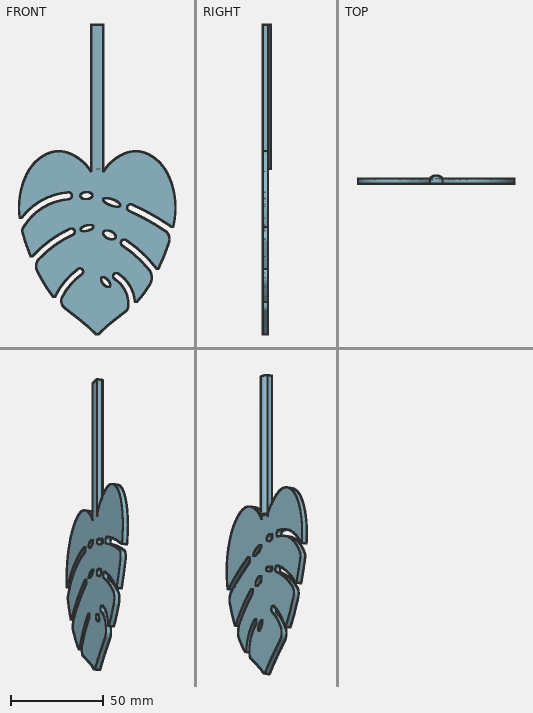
import cadquery as cq
import math


PLATE_THICKNESS = 3.0
TOTAL_DEPTH = 4.61
TOTAL_HEIGHT = 167.9
STEM_WIDTH = 6.7
HALF_STEM = STEM_WIDTH / 2
STEM_OVERLAP = 5.0
RIB_BOTTOM_Z = 89.7

LEAF_WIDTH = 84.96
NOTCH = (HALF_STEM, 88.3)
CROWN = (20.8, 99.45)
WIDEST = (LEAF_WIDTH / 2, 68.5)
LEAF_TIP = (0.0, -0.72)
LEAF_TIP_RADIUS = 1.5
EDGE_POINTS = [
    (11.4, 96.4),
    CROWN,
    (33.3, 93.8),
    (39.9, 83.2),
    WIDEST,
    (39.3, 51.0),
    (31.0, 31.4),
    (21.9, 18.2),
    (12.0, 9.9),
    LEAF_TIP,
]

SLOTS = [
    ((-15.6, 75.2), (-29.2, 71.1), (-44.2, 53.7), 3.6, 3.0),
    ((18.1, 68.7), (28.7, 63.4), (44.0, 53.3), 3.7, 5.5),
    ((-14.0, 55.7), (-24.7, 49.4), (-37.5, 36.6), 3.5, 5.5),
    ((14.6, 49.7), (22.5, 43.6), (34.2, 29.6), 3.5, 7.0),
    ((-9.4, 34.1), (-15.6, 28.4), (-23.2, 15.0), 3.4, 5.0),
    ((10.3, 31.6), (15.9, 26.0), (17.6, 10.5), 3.4, 4.0),
]
LOBE_END_RADIUS = 0.75

HOLES = [
    (-5.9, 75.3, 3.25, 1.85, 3),
    (7.85, 71.6, 4.9, 1.65, -20),
    (-5.55, 57.7, 3.6, 1.4, 14),
    (6.6, 54.0, 3.55, 2.05, -24),
    (4.55, 28.4, 3.2, 1.6, -48),
]

TOLERANCE = 0.01


def through_plate(sketch):
    """Extrude an XZ outline from the front face to the back face of the plate."""
    return sketch.extrude(-PLATE_THICKNESS)


def leaf_blank():
    """Symmetric leaf without slots or holes, its tip rounded."""
    half = through_plate(
        cq.Workplane("XZ")
        .moveTo(*LEAF_TIP)
        .lineTo(0, NOTCH[1])
        .lineTo(*NOTCH)
        .spline(EDGE_POINTS, includeCurrent=True)
        .close()
    )
    blank = half.union(half.mirror("YZ"))
    tip_middle = (LEAF_TIP[0], PLATE_THICKNESS / 2, LEAF_TIP[1])
    return blank.edges(cq.selectors.NearestToPointSelector(tip_middle)).fillet(LEAF_TIP_RADIUS)


def arc_centre(a, b, c):
    """Centre of the circle through three points."""
    d = 2 * (a[0] * (b[1] - c[1]) + b[0] * (c[1] - a[1]) + c[0] * (a[1] - b[1]))
    sa, sb, sc = (p[0] ** 2 + p[1] ** 2 for p in (a, b, c))
    x = (sa * (b[1] - c[1]) + sb * (c[1] - a[1]) + sc * (a[1] - b[1])) / d
    z = (sa * (c[0] - b[0]) + sb * (a[0] - c[0]) + sc * (b[0] - a[0])) / d
    return x, z


def at_radius(centre, point, radius):
    """Point at the given distance from the centre, in the direction of another point."""
    scale = radius / math.dist(centre, point)
    return tuple(c + (p - c) * scale for c, p in zip(centre, point))


def slot_cutter(inner, middle, outer, width):
    """Curved slot with a round inner end, open past the leaf edge."""
    centre = arc_centre(inner, middle, outer)
    radius = math.dist(centre, inner)
    upper = radius + width / 2
    lower = radius - width / 2
    out_x = (inner[0] - centre[0]) / radius
    out_z = (inner[1] - centre[1]) / radius
    turn = math.copysign(width / 2, out_x * (inner[1] - middle[1]) - out_z * (inner[0] - middle[0]))
    round_end = (inner[0] - turn * out_z, inner[1] + turn * out_x)
    return through_plate(
        cq.Workplane("XZ")
        .moveTo(*at_radius(centre, outer, upper))
        .threePointArc(at_radius(centre, middle, upper), at_radius(centre, inner, upper))
        .threePointArc(round_end, at_radius(centre, inner, lower))
        .threePointArc(at_radius(centre, middle, lower), at_radius(centre, outer, lower))
        .close()
    )


def place(edge):
    """Place of an edge in the XZ plane."""
    middle = edge.Center()
    return middle.x, middle.z


def crosses_plate(edge):
    """Whether an edge runs through the plate, from one flat face to the other."""
    run = edge.endPoint() - edge.startPoint()
    return abs(abs(run.y) - PLATE_THICKNESS) < TOLERANCE


def round_corner(leaf, centre, side_radius, outer, corner_radius):
    """Round the corner where a slot side, an arc of side_radius, meets the leaf edge."""
    on_side = [
        edge for edge in leaf.edges().vals()
        if crosses_plate(edge) and abs(math.dist(centre, place(edge)) - side_radius) < TOLERANCE
    ]
    corner = min(on_side, key=lambda edge: math.dist(place(edge), outer))
    return leaf.newObject([corner]).fillet(corner_radius)


def round_mouth(leaf, inner, middle, outer, width, shoulder_radius):
    """Round the lobe end above a slot mouth and the lobe shoulder below it."""
    centre = arc_centre(inner, middle, outer)
    radius = math.dist(centre, inner)
    leaf = round_corner(leaf, centre, radius + width / 2, outer, LOBE_END_RADIUS)
    return round_corner(leaf, centre, radius - width / 2, outer, shoulder_radius)


def hole_cutter(x, z, half_length, half_width, tilt):
    """Tilted elliptical hole."""
    return through_plate(
        cq.Workplane("XZ")
        .center(x, z)
        .transformed(rotate=(0, 0, tilt))
        .ellipse(half_length, half_width)
    )


def stem():
    """Flat stem, as thick as the leaf."""
    bottom = NOTCH[1] - STEM_OVERLAP
    return cq.Workplane("XY").box(
        STEM_WIDTH, PLATE_THICKNESS, TOTAL_HEIGHT - bottom, centered=(True, False, False)
    ).translate((0, 0, bottom))


def rib():
    """Rib behind the stem, a circle segment as wide as the stem in cross-section."""
    return (
        cq.Workplane("XY")
        .workplane(offset=RIB_BOTTOM_Z)
        .moveTo(HALF_STEM, PLATE_THICKNESS)
        .threePointArc((0, TOTAL_DEPTH), (-HALF_STEM, PLATE_THICKNESS))
        .close()
        .extrude(TOTAL_HEIGHT - RIB_BOTTOM_Z)
    )


leaf = leaf_blank()
for inner, middle, outer, width, shoulder_radius in SLOTS:
    leaf = leaf.cut(slot_cutter(inner, middle, outer, width))
for slot in SLOTS:
    leaf = round_mouth(leaf, *slot)
for hole in HOLES:
    leaf = leaf.cut(hole_cutter(*hole))

result = leaf.union(stem()).union(rib())